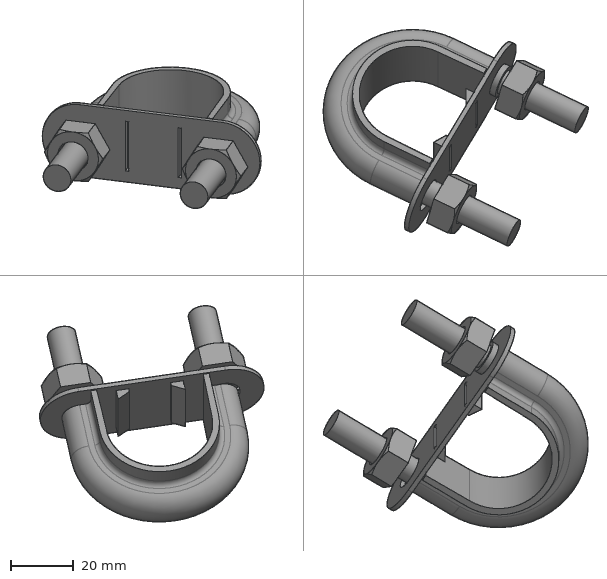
import cadquery as cq
import math

OVERALL_LENGTH = 77.35
LEG_X = 22.8
ROD_DIA = 8.35
STUD_DIA = 9.2
JOURNAL_DIA = 8.2

COVER_WIDTH = 25.0
COVER_WALL = 1.55
BAND_INNER_RADIUS = 17.0
BAND_OUTER_RADIUS = 19.2
RIB_FILLET = 1.7
MOUTH_HALF_WIDTH = 17.25
COVER_LEG = 16.5

PLATE_LENGTH = 72.5
PLATE_WIDTH = COVER_WIDTH
PLATE_THICKNESS = 1.55
PLATE_GAP = 0.4
PIVOT_X = 23.0
COLLAR_DIA = 10.8
COLLAR_HEIGHT = 2.1
OPEN_HOLE_DIA = COLLAR_DIA
OPEN_HOLE_X = -23.8

TAB_X = 8.8
TAB_WIDTH = 4.1
TAB_LENGTH = 20.1
TAB_TALL = 3.5
TAB_SHORT = 1.15
SLOT_WIDTH = 1.1
SLOT_LENGTH = 17.25

NUT_ACROSS_FLATS = 16.95
NUT_HEIGHT = 8.3
NUT_HOLE_DIA = 10.0
NUT_CHAMFER_ANGLE = 30.0
NUT_GAP = 4.2

RIB_RADIUS = ROD_DIA / 2 + COVER_WALL
CROWN_Y = LEG_X + RIB_RADIUS
STUD_END_Y = CROWN_Y - OVERALL_LENGTH
PLATE_TOP_Y = -COVER_LEG - PLATE_GAP
PLATE_BOTTOM_Y = PLATE_TOP_Y - PLATE_THICKNESS
NUT_TOP_Y = PLATE_BOTTOM_Y - NUT_GAP
PLATE_END_SPACING = PLATE_LENGTH - PLATE_WIDTH
PLATE_CENTRE_X = PIVOT_X - PLATE_END_SPACING / 2


def section_plane(y):
    """XZ plane at height y; extruding goes towards -Y."""
    return cq.Workplane("XZ", origin=(0, y, 0))


def cylinder(x, diameter, top_y, bottom_y):
    """Cylinder along Y between two heights."""
    return section_plane(top_y).center(x, 0).circle(diameter / 2).extrude(top_y - bottom_y)


def u_shape(section, leg_length):
    """Half-turn arch of a section drawn at +X, with a straight leg at each end."""
    arch = section.revolve(180, (0, 0, 0), (0, 1, 0))
    leg = section.toPending().extrude(leg_length)
    return arch.union(leg).union(leg.mirror("YZ"))


def make_rod(leg_length):
    section = section_plane(0).moveTo(LEG_X, 0).circle(ROD_DIA / 2)
    return u_shape(section, leg_length)


def make_u_bolt():
    bolt = make_rod(-PLATE_TOP_Y)
    bolt = bolt.union(cylinder(-LEG_X, ROD_DIA, PLATE_TOP_Y, NUT_TOP_Y))
    bolt = bolt.union(cylinder(PIVOT_X, JOURNAL_DIA, PLATE_TOP_Y, NUT_TOP_Y))
    for x in (-LEG_X, LEG_X):
        bolt = bolt.union(cylinder(x, STUD_DIA, NUT_TOP_Y, STUD_END_Y))
    return bolt


def make_cover():
    edge_z = COVER_WIDTH / 2
    foot_z = RIB_RADIUS + RIB_FILLET
    rib_start_x = BAND_OUTER_RADIUS + RIB_FILLET
    section = (
        section_plane(0)
        .moveTo(BAND_INNER_RADIUS, -edge_z)
        .lineTo(BAND_OUTER_RADIUS, -edge_z)
        .lineTo(BAND_OUTER_RADIUS, -foot_z)
        .tangentArcPoint((rib_start_x, -RIB_RADIUS), relative=False)
        .lineTo(LEG_X, -RIB_RADIUS)
        .threePointArc((LEG_X + RIB_RADIUS, 0), (LEG_X, RIB_RADIUS))
        .lineTo(rib_start_x, RIB_RADIUS)
        .tangentArcPoint((BAND_OUTER_RADIUS, foot_z), relative=False)
        .lineTo(BAND_OUTER_RADIUS, edge_z)
        .lineTo(BAND_INNER_RADIUS, edge_z)
        .close()
    )
    mouth = (
        cq.Workplane("XY")
        .polyline([
            (-BAND_INNER_RADIUS, 0),
            (BAND_INNER_RADIUS, 0),
            (MOUTH_HALF_WIDTH, -COVER_LEG),
            (-MOUTH_HALF_WIDTH, -COVER_LEG),
        ])
        .close()
        .extrude(edge_z, both=True)
    )
    return u_shape(section, COVER_LEG).cut(mouth).cut(make_rod(COVER_LEG))


def tab_prism(width, length, base_y, offset):
    """Right-hand tab shape with a sloped crest, lowered by an offset square to the slope."""
    slope = (TAB_TALL - TAB_SHORT) / TAB_WIDTH
    drop = offset * math.hypot(1, slope)
    middle_y = PLATE_TOP_Y + (TAB_TALL + TAB_SHORT) / 2 - drop
    half_rise = slope * width / 2
    return (
        cq.Workplane("XY")
        .polyline([
            (TAB_X - width / 2, base_y),
            (TAB_X + width / 2, base_y),
            (TAB_X + width / 2, middle_y + half_rise),
            (TAB_X - width / 2, middle_y - half_rise),
        ])
        .close()
        .extrude(length / 2, both=True)
    )


def make_plate():
    plate = (
        section_plane(PLATE_TOP_Y)
        .center(PLATE_CENTRE_X, 0)
        .slot2D(PLATE_LENGTH, PLATE_WIDTH)
        .extrude(PLATE_THICKNESS)
    )
    collar_bottom_y = PLATE_BOTTOM_Y - COLLAR_HEIGHT
    plate = plate.union(cylinder(PIVOT_X, COLLAR_DIA, PLATE_BOTTOM_Y, collar_bottom_y))
    plate = plate.cut(cylinder(PIVOT_X, JOURNAL_DIA, PLATE_TOP_Y, collar_bottom_y))

    tab_wall = (TAB_WIDTH - SLOT_WIDTH) / 2
    tab = tab_prism(TAB_WIDTH, TAB_LENGTH, PLATE_TOP_Y, 0)
    slot = tab_prism(SLOT_WIDTH, SLOT_LENGTH, PLATE_BOTTOM_Y, tab_wall)
    plate = plate.union(tab).union(tab.mirror("YZ"))
    plate = plate.cut(slot).cut(slot.mirror("YZ"))
    open_hole = cylinder(OPEN_HOLE_X, OPEN_HOLE_DIA, PLATE_TOP_Y, PLATE_BOTTOM_Y)
    return plate.cut(open_hole)


def make_nut(x):
    across_corners = NUT_ACROSS_FLATS / math.cos(math.pi / 6)
    corner_inset = (across_corners - NUT_ACROSS_FLATS) / 2
    corner_height = corner_inset * math.tan(math.radians(NUT_CHAMFER_ANGLE))
    nut_bottom_y = NUT_TOP_Y - NUT_HEIGHT
    hexagon = section_plane(NUT_TOP_Y).center(x, 0).polygon(6, across_corners).extrude(NUT_HEIGHT)
    chamfered_round = (
        cylinder(x, across_corners, NUT_TOP_Y, nut_bottom_y)
        .faces("<Y")
        .chamfer(corner_height, corner_inset)
    )
    bore = cylinder(x, NUT_HOLE_DIA, NUT_TOP_Y, nut_bottom_y)
    return hexagon.intersect(chamfered_round).cut(bore)


u_bolt = make_u_bolt()
cover = make_cover()
plate = make_plate()
nuts = [make_nut(x) for x in (-PIVOT_X, PIVOT_X)]

result = cq.Compound.makeCompound([
    u_bolt.val(),
    cover.val(),
    plate.val(),
    *[nut.val() for nut in nuts],
])